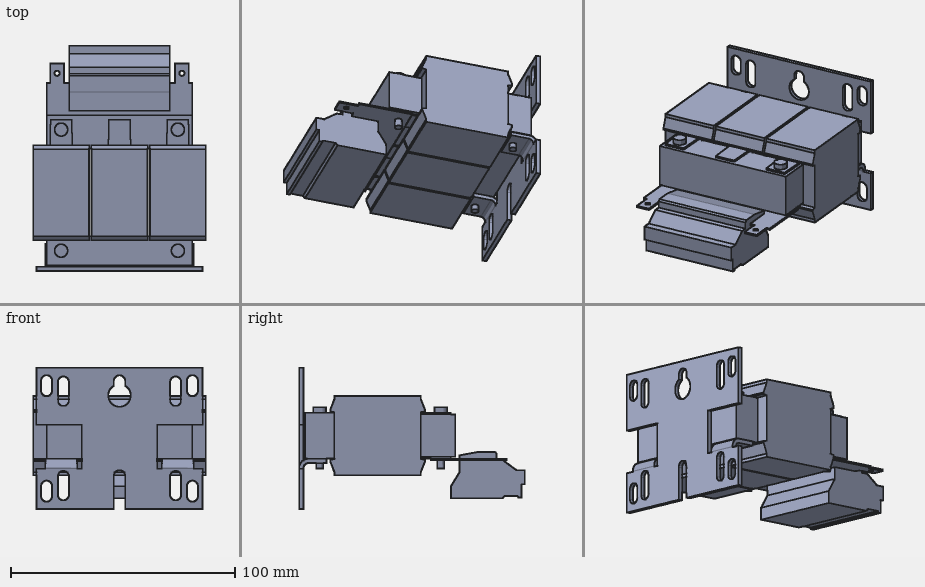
import cadquery as cq


PLATE_WIDTH = 74.0
PLATE_HEIGHT = 63.0
PLATE_THICK = 2.0
SLOT_WIDTH = 4.8
OUTER_SLOT_X = 32.5
OUTER_SLOT_Z = 23.5
OUTER_SLOT_LENGTH = 9.3
INNER_SLOT_X = 25.0
INNER_SLOT_Z = 21.0
INNER_SLOT_LENGTH = 13.1
HANGING_SLOT_WIDTH = 5.0
KEYHOLE_Z = 19.1
KEYHOLE_DIAMETER = 10.0
KEYHOLE_TOP = 28.1
BOTTOM_SLOT_TOP = -14.1
WINDOW_INNER_X = 16.8
WINDOW_TOP = 6.0
WINDOW_BOTTOM = -13.5

STACK_PITCH = 26.0
CORE_MID_Z = 1.25
CORE_WIDTH = 65.0
CORE_HEIGHT = 19.0
CORE_FRONT = 2.65
CORE_REAR = 69.6
YOKE_DEPTH = 13.0
GAP_SPACER_DEPTH = 2.0
LEG_WIDTH = 13.0
STRIP_THICK = 0.75
STRIP_HALF_HEIGHT = CORE_HEIGHT / 2 + STRIP_THICK
STRIP_TOP = CORE_MID_Z + STRIP_HALF_HEIGHT
STRIP_BOTTOM = CORE_MID_Z - STRIP_HALF_HEIGHT
YOKE_INNER_FRONT = CORE_FRONT + YOKE_DEPTH
YOKE_INNER_REAR = CORE_REAR - YOKE_DEPTH

FOOT_INNER_X = 18.9
FOOT_OUTER_X = 33.0
FOOT_REAR = 12.25
BEND_INNER_RADIUS = 2.2
BEND_OUTER_RADIUS = BEND_INNER_RADIUS + PLATE_THICK

COIL_WIDTH = 25.0
COIL_HALF_HEIGHT = 17.75
COIL_FRONT = YOKE_INNER_FRONT
COIL_REAR = 54.25
FLANGE_REACH = 1.9
FLANGE_ROOT_HALF_HEIGHT = 16.25
FLANGE_LIP_HALF_HEIGHT = 11.45
FLANGE_LIP_THICK = 0.7
FLANGE_INNER_HALF_HEIGHT = 10.35

TONGUE_REAR = 67.6
TONGUE_END_WIDTH = 9.4
TONGUE_ROOT_WIDTH = 10.0

SCREW_FRONT_Y = CORE_FRONT + YOKE_DEPTH / 2
SCREW_REAR_Y = CORE_REAR - YOKE_DEPTH / 2
HEAD_DIAMETER = 5.8
HEAD_TOP = 13.9
STUD_DIAMETER = 3.2
STUD_BOTTOM = -13.5

BRACKET_THICK = 0.75
BRACKET_FRONT = 58.7
BRACKET_REAR = 83.9
LUG_X = 27.8
LUG_WIDTH = 6.2
LUG_REAR = 92.6
LUG_HOLE_Y = 88.2
LUG_HOLE_DIAMETER = 2.2

BLOCK_WIDTH = 44.8
BLOCK_REAR = 100.54
BLOCK_FRONT_TOP = 71.4
BLOCK_FRONT_BOTTOM = 67.6
BLOCK_BOTTOM = -26.75
RECESS_DEPTH = 1.0
BLOCK_RECESS_Z = BLOCK_BOTTOM + RECESS_DEPTH
RECESS_FRONT = 90.5
RECESS_REAR = 97.3
FRONT_SLOPE_TOP = -15.1
FRONT_SLOPE_BOTTOM = -21.3
ENTRY_SHELF_Z = -20.45
ENTRY_TOP = -14.1
ENTRY_LOWER_REAR = 99.1
ENTRY_LIP_BOTTOM = -26.4
ENTRY_LIP_FRONT = 97.6
ENTRY_SLOPE_REAR = 96.8
ENTRY_SLOPE_FRONT = 90.9
CREST_REAR = 88.0
CREST_TOP = -5.95
CREST_CHAMFER = 0.8
CREST_SLOPE_START = 79.9
CREST_FRONT_Z = -7.5


def box(x0, x1, y0, y1, z0, z1):
    """Axis-aligned box between two corners."""
    return cq.Workplane("XY").box(x1 - x0, y1 - y0, z1 - z0, centered=False).translate((x0, y0, z0))


def prism_along_x(points, x0, x1):
    """Closed (y, z) outline extruded from x0 to x1."""
    return cq.Workplane("YZ").workplane(offset=x0).polyline(points).close().extrude(x1 - x0)


def through_plate(sketch):
    """Turn a closed front-plane outline into a cutter through the mounting plate."""
    return sketch.extrude(-PLATE_THICK)


def plate_slot(x, z, length, width=SLOT_WIDTH):
    """Vertical round-ended slot cutter."""
    return through_plate(cq.Workplane("XZ").center(x, z).slot2D(length, width, 90))


def make_plate():
    plate = box(-PLATE_WIDTH / 2, PLATE_WIDTH / 2, 0, PLATE_THICK, -PLATE_HEIGHT / 2, PLATE_HEIGHT / 2)
    for side in (-1, 1):
        for level in (-1, 1):
            plate = plate.cut(plate_slot(side * OUTER_SLOT_X, level * OUTER_SLOT_Z, OUTER_SLOT_LENGTH))
            plate = plate.cut(plate_slot(side * INNER_SLOT_X, level * INNER_SLOT_Z, INNER_SLOT_LENGTH))
        window_x = sorted((side * WINDOW_INNER_X, side * PLATE_WIDTH / 2))
        plate = plate.cut(box(*window_x, 0, PLATE_THICK, WINDOW_BOTTOM, WINDOW_TOP))

    keyhole_neck_length = KEYHOLE_TOP - KEYHOLE_Z + HANGING_SLOT_WIDTH / 2
    keyhole_neck_z = KEYHOLE_TOP - keyhole_neck_length / 2
    plate = plate.cut(plate_slot(0, keyhole_neck_z, keyhole_neck_length, HANGING_SLOT_WIDTH))
    plate = plate.cut(through_plate(cq.Workplane("XZ").center(0, KEYHOLE_Z).circle(KEYHOLE_DIAMETER / 2)))

    bottom_slot_length = 2 * (BOTTOM_SLOT_TOP + PLATE_HEIGHT / 2)
    return plate.cut(plate_slot(0, -PLATE_HEIGHT / 2, bottom_slot_length, HANGING_SLOT_WIDTH))


def make_foot(side):
    """Sheet tab bent from the plate to lie under the front yoke."""
    top = STRIP_BOTTOM
    under = top - PLATE_THICK
    bend_z = top - BEND_OUTER_RADIUS
    bend_y = BEND_OUTER_RADIUS
    x0, x1 = sorted((side * FOOT_INNER_X, side * FOOT_OUTER_X))
    diagonal = 0.5 ** 0.5
    outer_mid = (bend_y - BEND_OUTER_RADIUS * diagonal, bend_z + BEND_OUTER_RADIUS * diagonal)
    inner_mid = (bend_y - BEND_INNER_RADIUS * diagonal, bend_z + BEND_INNER_RADIUS * diagonal)
    return (
        cq.Workplane("YZ").workplane(offset=x0)
        .moveTo(0, WINDOW_BOTTOM)
        .lineTo(0, bend_z)
        .threePointArc(outer_mid, (bend_y, top))
        .lineTo(FOOT_REAR, top)
        .lineTo(FOOT_REAR, under)
        .lineTo(bend_y, under)
        .threePointArc(inner_mid, (PLATE_THICK, bend_z))
        .lineTo(PLATE_THICK, WINDOW_BOTTOM)
        .close()
        .extrude(x1 - x0)
    )


def make_core():
    half_width = CORE_WIDTH / 2
    bottom = CORE_MID_Z - CORE_HEIGHT / 2
    top = CORE_MID_Z + CORE_HEIGHT / 2
    front_yoke = box(-half_width, half_width, CORE_FRONT, YOKE_INNER_FRONT, STRIP_BOTTOM, STRIP_TOP)
    rear_yoke = box(-half_width, half_width, YOKE_INNER_REAR - GAP_SPACER_DEPTH, CORE_REAR, bottom, top)
    core = front_yoke.union(rear_yoke)
    for x in (-STACK_PITCH, 0, STACK_PITCH):
        leg = box(x - LEG_WIDTH / 2, x + LEG_WIDTH / 2, CORE_FRONT, CORE_REAR, bottom, top)
        core = core.union(leg)
    return core


def make_coil(x):
    """Coil block with a flared flange at each of its four long edges."""
    body = box(
        x - COIL_WIDTH / 2, x + COIL_WIDTH / 2, COIL_FRONT, COIL_REAR,
        CORE_MID_Z - COIL_HALF_HEIGHT, CORE_MID_Z + COIL_HALF_HEIGHT,
    )
    for face_y, outward in ((COIL_FRONT, -1), (COIL_REAR, 1)):
        tip_y = face_y + outward * FLANGE_REACH
        for level in (-1, 1):
            flange = [
                (face_y, CORE_MID_Z + level * FLANGE_ROOT_HALF_HEIGHT),
                (tip_y, CORE_MID_Z + level * FLANGE_LIP_HALF_HEIGHT),
                (tip_y, CORE_MID_Z + level * (FLANGE_LIP_HALF_HEIGHT - FLANGE_LIP_THICK)),
                (face_y, CORE_MID_Z + level * FLANGE_INNER_HALF_HEIGHT),
            ]
            body = body.union(prism_along_x(flange, x - COIL_WIDTH / 2, x + COIL_WIDTH / 2))
    return body


def make_tongues(x):
    """Tapered tongues above and below the rear yoke."""
    outline = [
        (x - TONGUE_ROOT_WIDTH / 2, COIL_REAR),
        (x + TONGUE_ROOT_WIDTH / 2, COIL_REAR),
        (x + TONGUE_END_WIDTH / 2, TONGUE_REAR),
        (x - TONGUE_END_WIDTH / 2, TONGUE_REAR),
    ]
    tongue = cq.Workplane("XY").polyline(outline).close().extrude(STRIP_THICK)
    upper = tongue.translate((0, 0, STRIP_TOP - STRIP_THICK))
    lower = tongue.translate((0, 0, STRIP_BOTTOM))
    return upper.union(lower)


def make_screw(x, y):
    stud = cq.Workplane("XY").workplane(offset=STUD_BOTTOM).center(x, y)
    stud = stud.circle(STUD_DIAMETER / 2).extrude(STRIP_TOP - STUD_BOTTOM)
    head_base = CORE_MID_Z + CORE_HEIGHT / 2
    head = cq.Workplane("XY").workplane(offset=head_base).center(x, y)
    head = head.circle(HEAD_DIAMETER / 2).extrude(HEAD_TOP - head_base)
    return stud.union(head)


def make_bracket():
    top = STRIP_BOTTOM
    bottom = top - BRACKET_THICK
    bracket = box(-CORE_WIDTH / 2, CORE_WIDTH / 2, BRACKET_FRONT, BRACKET_REAR, bottom, top)
    for x in (-LUG_X, LUG_X):
        lug = box(x - LUG_WIDTH / 2, x + LUG_WIDTH / 2, BRACKET_REAR, LUG_REAR, bottom, top)
        hole = cq.Workplane("XY").workplane(offset=bottom).center(x, LUG_HOLE_Y)
        hole = hole.circle(LUG_HOLE_DIAMETER / 2).extrude(BRACKET_THICK)
        bracket = bracket.union(lug.cut(hole))
    return bracket


def make_terminal_block():
    bracket_bottom = STRIP_BOTTOM - BRACKET_THICK
    outline = [
        (CREST_REAR, bracket_bottom),
        (CREST_REAR, CREST_TOP - CREST_CHAMFER),
        (CREST_REAR - CREST_CHAMFER, CREST_TOP),
        (CREST_SLOPE_START, CREST_TOP),
        (BLOCK_FRONT_TOP, CREST_FRONT_Z),
        (BLOCK_FRONT_TOP, FRONT_SLOPE_TOP),
        (BLOCK_FRONT_BOTTOM, FRONT_SLOPE_BOTTOM),
        (BLOCK_FRONT_BOTTOM, BLOCK_BOTTOM),
        (RECESS_FRONT, BLOCK_BOTTOM),
        (RECESS_FRONT + RECESS_DEPTH, BLOCK_RECESS_Z),
        (RECESS_REAR, BLOCK_RECESS_Z),
        (ENTRY_LIP_FRONT, ENTRY_LIP_BOTTOM),
        (ENTRY_LOWER_REAR, ENTRY_LIP_BOTTOM),
        (ENTRY_LOWER_REAR, ENTRY_SHELF_Z),
        (BLOCK_REAR, ENTRY_SHELF_Z),
        (BLOCK_REAR, ENTRY_TOP),
        (ENTRY_SLOPE_REAR, ENTRY_TOP),
        (ENTRY_SLOPE_FRONT, bracket_bottom),
    ]
    return prism_along_x(outline, -BLOCK_WIDTH / 2, BLOCK_WIDTH / 2)


result = make_plate().union(make_core())
for side in (-1, 1):
    result = result.union(make_foot(side))
for coil_x in (-STACK_PITCH, 0, STACK_PITCH):
    result = result.union(make_coil(coil_x)).union(make_tongues(coil_x))
result = result.union(make_bracket()).union(make_terminal_block())
for screw_x in (-STACK_PITCH, STACK_PITCH):
    for screw_y in (SCREW_FRONT_Y, SCREW_REAR_Y):
        result = result.union(make_screw(screw_x, screw_y))